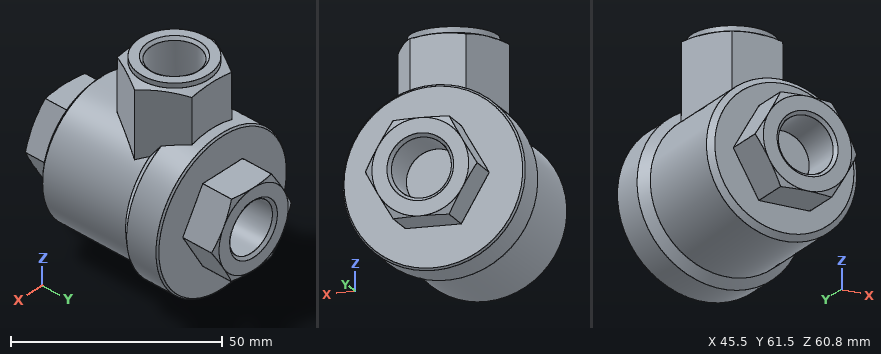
import cadquery as cq
import math

total_length = 61.5
port_top_z = 38.0
side_port_y = 36.0

body_radius = 20.51
flange_radius = 22.75
front_face_y = 11.1
body_chamfer_length = 1.3
body_chamfer_depth = 1.55
cone_start_y = 39.2
flange_start_y = 41.6
flange_end_y = 51.55
flange_edge_chamfer = 0.5

hex_across_flats = 24.1
hex_across_corners = hex_across_flats / math.cos(math.pi / 6)
hex_chamfer_angle = math.radians(20)

collar_diameter = 22.0
collar_height = 1.5

bore_diameter = 14.95
bore_mouth_diameter = 16.6
bore_depth = 12.3


def chamfered_hex(length, top_diameter):
    """Hexagon standing on the XY plane, its upper corners turned off by a cone."""
    corner_radius = hex_across_corners / 2
    top_radius = top_diameter / 2
    cone_height = (corner_radius - top_radius) * math.tan(hex_chamfer_angle)
    prism = cq.Workplane("XY").polygon(6, hex_across_corners).extrude(length)
    envelope = (
        cq.Workplane("XZ")
        .polyline([
            (0, 0),
            (corner_radius, 0),
            (corner_radius, length - cone_height),
            (top_radius, length),
            (0, length),
        ])
        .close()
        .revolve(360, (0, 0), (0, 1))
    )
    return prism.intersect(envelope)


def port_bore():
    """Blind bore with a countersunk mouth, opening upward at Z = 0."""
    bore_radius = bore_diameter / 2
    mouth_radius = bore_mouth_diameter / 2
    countersink_depth = mouth_radius - bore_radius
    return (
        cq.Workplane("XZ")
        .polyline([
            (0, 0),
            (mouth_radius, 0),
            (bore_radius, -countersink_depth),
            (bore_radius, -bore_depth),
            (0, -bore_depth),
        ])
        .close()
        .revolve(360, (0, 0), (0, 1))
    )


def face_front(shape):
    """Turn a shape that points up so that it points toward -Y."""
    return shape.rotate((0, 0, 0), (1, 0, 0), 90)


def face_back(shape):
    """Turn a shape that points up so that it points toward +Y."""
    return shape.rotate((0, 0, 0), (1, 0, 0), -90)


body = (
    cq.Workplane("XY")
    .polyline([
        (0, front_face_y),
        (body_radius - body_chamfer_depth, front_face_y),
        (body_radius, front_face_y + body_chamfer_length),
        (body_radius, cone_start_y),
        (flange_radius, flange_start_y),
        (flange_radius, flange_end_y - flange_edge_chamfer),
        (flange_radius - flange_edge_chamfer, flange_end_y),
        (0, flange_end_y),
    ])
    .close()
    .revolve(360, (0, 0), (0, 1))
)

front_hex = face_front(chamfered_hex(front_face_y, hex_across_flats)).translate((0, front_face_y, 0))
back_hex_length = total_length - flange_end_y
back_hex = face_back(chamfered_hex(back_hex_length, hex_across_flats)).translate((0, flange_end_y, 0))

side_hex_height = port_top_z - collar_height
side_hex = chamfered_hex(side_hex_height, collar_diameter).translate((0, side_port_y, 0))
collar = (
    cq.Workplane("XY", origin=(0, side_port_y, side_hex_height))
    .circle(collar_diameter / 2)
    .extrude(collar_height)
)

result = body.union(front_hex).union(back_hex).union(side_hex).union(collar)

result = result.cut(face_front(port_bore()))
result = result.cut(face_back(port_bore()).translate((0, total_length, 0)))
result = result.cut(port_bore().translate((0, side_port_y, port_top_z)))